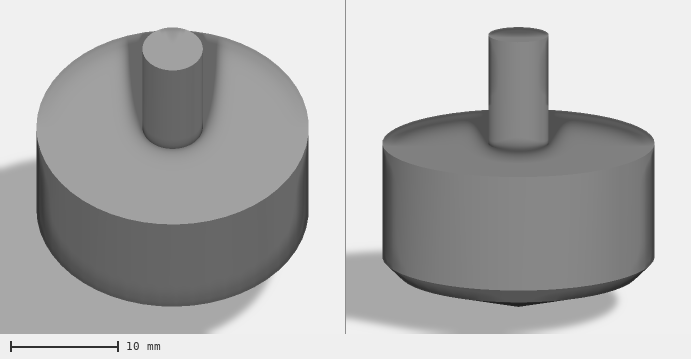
import cadquery as cq

total_height = 26.1
body_diameter = 25.3
stem_diameter = 5.6

stem_height = 10.4
body_height = 10.88
chamfer_size = 1.51

body_radius = body_diameter / 2
stem_radius = stem_diameter / 2
cone_radius = body_radius - chamfer_size

body_top = total_height - stem_height
body_bottom = body_top - body_height
cone_top = body_bottom - chamfer_size

profile = (
    cq.Workplane("XZ")
    .lineTo(cone_radius, cone_top)
    .lineTo(body_radius, body_bottom)
    .lineTo(body_radius, body_top)
    .lineTo(stem_radius, body_top)
    .lineTo(stem_radius, total_height)
    .lineTo(0, total_height)
    .close()
)

result = profile.revolve(360, (0, 0, 0), (0, 1, 0))